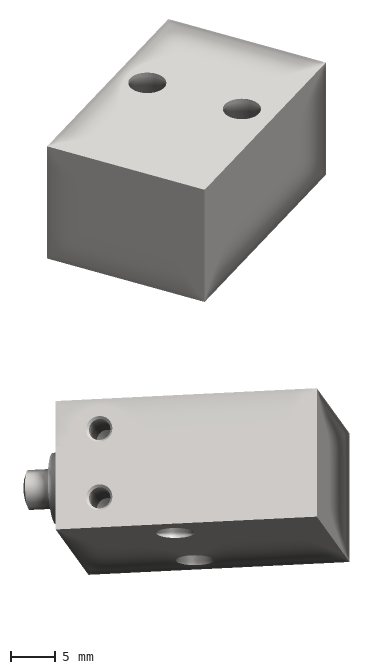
import cadquery as cq

BLOCK_WIDTH = 20.0
BLOCK_HEIGHT = 15.0
OVERALL_LENGTH = 35.5
BLOCK_LENGTH = 30.0

BOOT_BASE_RADIUS = 9.0 / 2
BOOT_TIP_RADIUS = 8.1 / 2
BOOT_LENGTH = 2.02
BOOT_FLARE_INSET = 0.1

PLUNGER_RADIUS = 4.5 / 2
DOME_HEIGHT = 0.55

MOUNT_DIAMETER = 4.3
MOUNT_SPACING = 12.0
MOUNT_SETBACK = 13.0

PILOT_DIAMETER = 2.45
PILOT_MOUTH_DIAMETER = 3.0
PILOT_DEPTH = 5.0
PILOT_TIP_HEIGHT = 0.7
PILOT_SPACING = 8.0
PILOT_SETBACK = 5.0


def make_block():
    return cq.Workplane("XY").box(BLOCK_WIDTH, BLOCK_LENGTH, BLOCK_HEIGHT).translate(
        (0, -BLOCK_LENGTH / 2, 0)
    )


def make_plunger():
    """Boot, stem and dome, revolved together about the Y axis."""
    tip = OVERALL_LENGTH - BLOCK_LENGTH
    dome_base = tip - DOME_HEIGHT
    dome_radius = (PLUNGER_RADIUS**2 + DOME_HEIGHT**2) / (2 * DOME_HEIGHT)
    flank_mid_radius = (BOOT_BASE_RADIUS + BOOT_TIP_RADIUS) / 2 - BOOT_FLARE_INSET
    dome_mid_x = PLUNGER_RADIUS / 2
    dome_mid_y = tip - dome_radius + (dome_radius**2 - dome_mid_x**2) ** 0.5
    return (
        cq.Workplane("XY")
        .lineTo(BOOT_BASE_RADIUS, 0)
        .threePointArc((flank_mid_radius, BOOT_LENGTH / 2), (BOOT_TIP_RADIUS, BOOT_LENGTH))
        .lineTo(PLUNGER_RADIUS, BOOT_LENGTH)
        .lineTo(PLUNGER_RADIUS, dome_base)
        .threePointArc((dome_mid_x, dome_mid_y), (0, tip))
        .close()
        .revolve(360, (0, 0, 0), (0, 1, 0))
    )


def make_mount_holes():
    return (
        cq.Workplane("XY")
        .pushPoints([(side * MOUNT_SPACING / 2, -MOUNT_SETBACK) for side in (-1, 1)])
        .circle(MOUNT_DIAMETER / 2)
        .extrude(BLOCK_HEIGHT, both=True)
    )


def make_pilot_hole(z):
    """Drilled hole running in from the -X face, with a 45 degree mouth and a conical tip."""
    face_x = -BLOCK_WIDTH / 2
    radius = PILOT_DIAMETER / 2
    mouth_radius = PILOT_MOUTH_DIAMETER / 2
    mouth_depth = mouth_radius - radius
    return (
        cq.Workplane("XY")
        .polyline(
            [
                (face_x, 0),
                (face_x, mouth_radius),
                (face_x + mouth_depth, radius),
                (face_x + PILOT_DEPTH, radius),
                (face_x + PILOT_DEPTH + PILOT_TIP_HEIGHT, 0),
            ]
        )
        .close()
        .revolve(360, (0, 0, 0), (1, 0, 0))
        .translate((0, -PILOT_SETBACK, z))
    )


result = make_block().union(make_plunger()).cut(make_mount_holes())
for side in (-1, 1):
    result = result.cut(make_pilot_hole(side * PILOT_SPACING / 2))